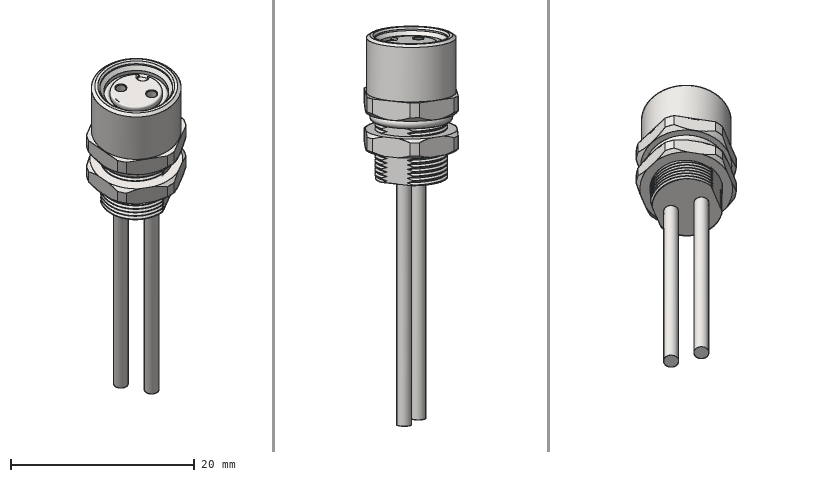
import cadquery as cq
import math

HEIGHT = 43.2
SHELL_BOTTOM = 36.85
HEX_THICKNESS = 2.15
COLLAR_BOTTOM = SHELL_BOTTOM - HEX_THICKNESS
NUT_TOP = 32.75
NUT_BOTTOM = NUT_TOP - HEX_THICKNESS
STEM_BOTTOM = 27.25

ACROSS_FLATS = 10.0
CORNER_DIAMETER = 10.97
COLLAR_CHAMFER = 0.5
NUT_CHAMFER_WIDTH = 0.45
NUT_CHAMFER_HEIGHT = 0.35

SHELL_DIAMETER = 9.8
SHELL_RADIUS = SHELL_DIAMETER / 2
SHELL_CHAMFER_WIDTH = 0.4
SHELL_CHAMFER_HEIGHT = 0.25
MOUTH_RADIUS = 4.2
MOUTH_CHAMFER = 0.2
MOUTH_DEPTH = 0.4
SOCKET_RADIUS = 3.55
SOCKET_DEPTH = 3.45

INSERT_RADIUS = 2.85
INSERT_ROUND = 0.2
INSERT_RECESS = 0.7
INSERT_TOP = HEIGHT - INSERT_RECESS
INNER_SEAL_RECESS = 1.1

KEY_RADIUS = 0.75
KEY_CENTRE_Y = 2.45
KEY_DEPTH = 0.45
KEY_CHAMFER = 0.17

CONTACT_SPACING = 3.5
CONTACT_X = CONTACT_SPACING / 2
HOLE_RADIUS = 0.55
HOLE_DEPTH = 1.73
HOLE_CHAMFER = 0.1
DRILL_TIP_HEIGHT = 0.35
WIRE_RADIUS = 0.8

SEAL_OUTER_RADIUS = 4.55
SEAL_SECTION_RADIUS = 0.5

THREAD_RADIUS = 3.97
THREAD_DEPTH = 0.25
THREAD_TOP = 33.8
THREAD_TURNS = 13
THREAD_PITCH = (THREAD_TOP - STEM_BOTTOM) / THREAD_TURNS
FLAT_DISTANCE = 3.5
GROOVE_WIDTH_SHARE = 0.9
GROOVE_OVERCUT = 0.025
NECK_RADIUS = 3.8
NUT_BORE_RADIUS = THREAD_RADIUS


def cylinder(radius, bottom, top, x=0.0):
    return cq.Workplane("XY", origin=(x, 0, bottom)).circle(radius).extrude(top - bottom)


def revolve_profile(points):
    """Revolve a closed (radius, z) outline about the Z axis."""
    return cq.Workplane("XZ").polyline(points).close().revolve(360, (0, 0, 0), (0, 1, 0))


def ring(centre_radius, section_radius, z):
    section = cq.Workplane("XZ").center(centre_radius, z).circle(section_radius)
    return section.revolve(360, (-centre_radius, 0, 0), (-centre_radius, 1, 0))


def hexagon(bottom, bottom_chamfer, top_chamfer):
    """Hexagon with flats facing +-X, turned to a round blank; chamfers are (width, height)."""
    prism = (
        cq.Workplane("XY", origin=(0, 0, bottom))
        .transformed(rotate=(0, 0, 30))
        .polygon(6, ACROSS_FLATS / math.cos(math.pi / 6))
        .extrude(HEX_THICKNESS)
    )
    radius = CORNER_DIAMETER / 2
    top = bottom + HEX_THICKNESS
    outline = [(0, bottom), (radius - bottom_chamfer[0], bottom), (radius, bottom + bottom_chamfer[1])]
    if top_chamfer:
        outline += [(radius, top - top_chamfer[1]), (radius - top_chamfer[0], top)]
    else:
        outline.append((radius, top))
    outline.append((0, top))
    return prism.intersect(revolve_profile(outline))


def shell():
    """Round shell with a stepped, tapered mouth and a deep socket."""
    mouth_bottom = HEIGHT - MOUTH_DEPTH
    throat_radius = MOUTH_RADIUS - MOUTH_CHAMFER
    taper_bottom = mouth_bottom - (throat_radius - SOCKET_RADIUS)
    socket_bottom = HEIGHT - SOCKET_DEPTH
    return revolve_profile([
        (0, SHELL_BOTTOM),
        (SHELL_RADIUS, SHELL_BOTTOM),
        (SHELL_RADIUS, HEIGHT - SHELL_CHAMFER_HEIGHT),
        (SHELL_RADIUS - SHELL_CHAMFER_WIDTH, HEIGHT),
        (MOUTH_RADIUS, HEIGHT),
        (throat_radius, HEIGHT - MOUTH_CHAMFER),
        (throat_radius, mouth_bottom),
        (SOCKET_RADIUS, taper_bottom),
        (SOCKET_RADIUS, socket_bottom),
        (0, socket_bottom),
    ])


def contact_hole(x):
    """Cutter for a contact hole with a chamfered mouth and a conical drill tip."""
    bottom = INSERT_TOP - HOLE_DEPTH
    profile = [
        (0, bottom - DRILL_TIP_HEIGHT),
        (HOLE_RADIUS, bottom),
        (HOLE_RADIUS, INSERT_TOP - HOLE_CHAMFER),
        (HOLE_RADIUS + HOLE_CHAMFER, INSERT_TOP),
        (0, INSERT_TOP),
    ]
    return revolve_profile(profile).translate((x, 0, 0))


def key_notch():
    """Cutter for the round key notch, open to the rim of the insert."""
    floor = INSERT_TOP - KEY_DEPTH
    mouth = INSERT_TOP - KEY_CHAMFER
    inner_radius = KEY_RADIUS - KEY_CHAMFER
    profile = [
        (0, floor),
        (inner_radius, floor),
        (inner_radius, mouth),
        (KEY_RADIUS, INSERT_TOP),
        (0, INSERT_TOP),
    ]
    return revolve_profile(profile).translate((0, KEY_CENTRE_Y, 0))


def insert():
    """Contact carrier with rounded rim, two holes and a key notch."""
    body = cylinder(INSERT_RADIUS, SHELL_BOTTOM, INSERT_TOP).faces(">Z").edges().fillet(INSERT_ROUND)
    for x in (-CONTACT_X, CONTACT_X):
        body = body.cut(contact_hole(x))
    return body.cut(key_notch())


def inner_seal():
    """Round-topped seal filling the gap between insert and socket."""
    section_radius = (SOCKET_RADIUS - INSERT_RADIUS) / 2
    centre_radius = INSERT_RADIUS + section_radius
    centre_z = HEIGHT - INNER_SEAL_RECESS - section_radius
    sleeve = cylinder(SOCKET_RADIUS, SHELL_BOTTOM, centre_z)
    sleeve = sleeve.cut(cylinder(INSERT_RADIUS, SHELL_BOTTOM, centre_z))
    return sleeve.union(ring(centre_radius, section_radius, centre_z))


def flats_block(bottom, top):
    """Block that bounds the stem between its two flats."""
    block = cq.Workplane("XY", origin=(0, 0, bottom)).rect(2 * FLAT_DISTANCE, 4 * THREAD_RADIUS)
    return block.extrude(top - bottom)


def threaded_stem():
    """Stem with a helical V thread, flattened on the +-X sides.

    The groove runs out inside an overlong blank, which is then trimmed to length.
    """
    extra = 2 * THREAD_PITCH
    blank = cylinder(THREAD_RADIUS, STEM_BOTTOM - extra, THREAD_TOP + extra)
    start = STEM_BOTTOM - THREAD_PITCH
    length = THREAD_TOP + THREAD_PITCH - start
    helix = cq.Wire.makeHelix(THREAD_PITCH, length, THREAD_RADIUS, cq.Vector(0, 0, start))
    half_width = THREAD_PITCH * GROOVE_WIDTH_SHARE / 2
    groove = (
        cq.Workplane("XZ", origin=(0, 0, start))
        .polyline([
            (THREAD_RADIUS - THREAD_DEPTH, 0),
            (THREAD_RADIUS + GROOVE_OVERCUT, half_width),
            (THREAD_RADIUS + GROOVE_OVERCUT, -half_width),
        ])
        .close()
        .sweep(cq.Workplane(helix), isFrenet=True)
    )
    return blank.cut(groove).intersect(flats_block(STEM_BOTTOM, THREAD_TOP))


def nut():
    """Hexagon nut whose round bore stays open beside the stem flats."""
    chamfer = (NUT_CHAMFER_WIDTH, NUT_CHAMFER_HEIGHT)
    bore = cylinder(NUT_BORE_RADIUS, NUT_BOTTOM, NUT_TOP)
    gaps = bore.cut(flats_block(NUT_BOTTOM, NUT_TOP))
    return hexagon(NUT_BOTTOM, chamfer, chamfer).cut(gaps)


collar = hexagon(COLLAR_BOTTOM, (COLLAR_CHAMFER, COLLAR_CHAMFER), None)
neck = cylinder(NECK_RADIUS, THREAD_TOP, COLLAR_BOTTOM)
outer_seal = ring(
    SEAL_OUTER_RADIUS - SEAL_SECTION_RADIUS,
    SEAL_SECTION_RADIUS,
    COLLAR_BOTTOM - SEAL_SECTION_RADIUS,
)

part = threaded_stem()
for piece in (nut(), neck, outer_seal, collar, shell(), inner_seal(), insert()):
    part = part.union(piece)
for wire_x in (-CONTACT_X, CONTACT_X):
    part = part.union(cylinder(WIRE_RADIUS, 0, STEM_BOTTOM, wire_x))

result = cq.Workplane(part.solids().val())